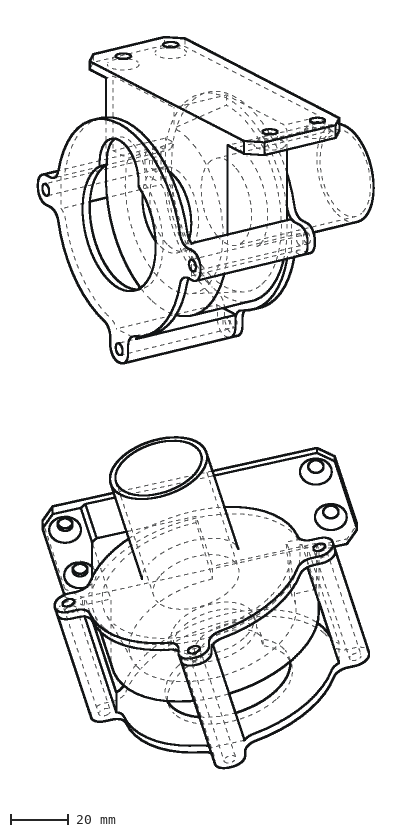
import cadquery as cq
import math

DISC_RADIUS = 38.5
LUG_REACH = 50.0
LUG_WIDTH = 11.0
LUG_ROUND = 5.0
LUG_ANGLES = (0, 180, 270)
SCREW_RADIUS = 45.0
SCREW_DIAMETER = 4.2
FLANGE_FRONT = 45.0
TOP_Z = 42.6

RING_THICKNESS = 3.0
OPENING_RADIUS = 22.5
LOBE_RADIUS = 12.0
LOBE_Z = 20.5
POST_INNER = 40.0

FLANGE_THICKNESS = 3.0
TUBE_END = 95.0
TUBE_DIAMETER = 35.0
TUBE_BORE = 31.0
TUBE_FILLET = 5.0

WALL = 3.0
HOUSING_FRONT = 20.1
HOUSING_HALF_WIDTH = 37.4
HOUSING_AXIS_Z = 2.0
INLET_DIAMETER = 30.0
CAVITY_FRONT_RADIUS = 30.0
CAVITY_BACK_RADIUS = 33.8
WINDOW_FLOOR_Z = 12.0
PLATE_LENGTH = 105
PLATE_DEPTH = 40.0
PLATE_CHAMFER = 5.0
THICK_PLATE = 4.7
BOLT_DIAMETER = 5.2
BOLT_X = 45.0
HEAD_DIAMETER = 11.0
HEAD_DEPTH = WALL
BOLT_EDGE = 7.6
BOLT_PITCH_Y = 20


def face_plane(y):
    """XZ sketch plane at depth y; negative extrusion lengths run toward +Y."""
    return cq.Workplane("XZ", origin=(0, y, 0))


def cylinder(radius, y_start, y_end, z=0):
    return face_plane(y_start).center(0, z).circle(radius).extrude(y_start - y_end)


def box(x_range, y_range, z_range):
    size = [end - start for start, end in (x_range, y_range, z_range)]
    corner = (x_range[0], y_range[0], z_range[0])
    return cq.Workplane("XY").box(*size, centered=False).translate(corner)


def lug_solid(y_start, y_end, inner):
    """Lug on the +X side with flared roots, from X = inner to its rounded end."""
    half = LUG_WIDTH / 2
    root_z = half + LUG_ROUND
    root_x = math.sqrt((DISC_RADIUS + LUG_ROUND) ** 2 - root_z ** 2)
    tangent_scale = DISC_RADIUS / (DISC_RADIUS + LUG_ROUND)
    disc_x, disc_z = root_x * tangent_scale, root_z * tangent_scale
    start_angle = math.atan2(-root_z, -root_x)
    mid_angle = (start_angle - math.pi / 2) / 2
    mid_x = root_x + LUG_ROUND * math.cos(mid_angle)
    mid_z = root_z + LUG_ROUND * math.sin(mid_angle)
    lug = (
        face_plane(y_start)
        .moveTo(0, -disc_z)
        .lineTo(disc_x, -disc_z)
        .threePointArc((mid_x, -mid_z), (root_x, -half))
        .lineTo(LUG_REACH, -half)
        .lineTo(LUG_REACH, half)
        .lineTo(root_x, half)
        .threePointArc((mid_x, mid_z), (disc_x, disc_z))
        .lineTo(0, disc_z)
        .close()
        .extrude(y_start - y_end)
        .edges("|Y and >X")
        .fillet(LUG_ROUND)
    )
    return lug.intersect(box((inner, LUG_REACH), (y_start, y_end), (-LUG_REACH, LUG_REACH)))


def add_lugs(body, y_start, y_end, inner=0):
    lug = lug_solid(y_start, y_end, inner)
    for angle in LUG_ANGLES:
        body = body.union(lug.rotate((0, 0, 0), (0, -1, 0), angle))
    return body


def drill_screw_holes(body, y_start, y_end):
    hole = cylinder(SCREW_DIAMETER / 2, y_start, y_end).translate((SCREW_RADIUS, 0, 0))
    for angle in LUG_ANGLES:
        body = body.cut(hole.rotate((0, 0, 0), (0, -1, 0), angle))
    return body


def make_guard_ring():
    """Front ring with a keyhole opening and three posts reaching back to the flange."""
    ring = add_lugs(cylinder(DISC_RADIUS, 0, RING_THICKNESS), 0, RING_THICKNESS)
    ring = ring.cut(cylinder(OPENING_RADIUS, 0, RING_THICKNESS))
    ring = ring.cut(cylinder(LOBE_RADIUS, 0, RING_THICKNESS, LOBE_Z))
    ring = add_lugs(ring, 0, FLANGE_FRONT, POST_INNER)
    return drill_screw_holes(ring, 0, FLANGE_FRONT)


def make_outlet_flange():
    """Lugged flange with a bored tube that flares into its rear face."""
    back = FLANGE_FRONT + FLANGE_THICKNESS
    tube_radius = TUBE_DIAMETER / 2
    flange = add_lugs(cylinder(DISC_RADIUS, FLANGE_FRONT, back), FLANGE_FRONT, back)
    flare_offset = TUBE_FILLET * (1 - math.sqrt(0.5))
    tube = (
        cq.Workplane("XY")
        .moveTo(0, FLANGE_FRONT)
        .lineTo(tube_radius + TUBE_FILLET, FLANGE_FRONT)
        .lineTo(tube_radius + TUBE_FILLET, back)
        .threePointArc(
            (tube_radius + flare_offset, back + flare_offset),
            (tube_radius, back + TUBE_FILLET),
        )
        .lineTo(tube_radius, TUBE_END)
        .lineTo(0, TUBE_END)
        .close()
        .revolve(360, (0, 0, 0), (0, 1, 0))
    )
    flange = flange.union(tube).cut(cylinder(TUBE_BORE / 2, FLANGE_FRONT, TUBE_END))
    return drill_screw_holes(flange, FLANGE_FRONT, back)


def make_mounting_plate():
    """Chamfered plate, countersunk from below, thicker at the +X end beyond a 45 degree ramp."""
    half_length = PLATE_LENGTH / 2
    rear = HOUSING_FRONT + PLATE_DEPTH
    step = THICK_PLATE - WALL
    plate = (
        face_plane(HOUSING_FRONT)
        .moveTo(-half_length, TOP_Z)
        .lineTo(half_length, TOP_Z)
        .lineTo(half_length, TOP_Z - THICK_PLATE)
        .lineTo(HOUSING_HALF_WIDTH, TOP_Z - THICK_PLATE)
        .lineTo(HOUSING_HALF_WIDTH - step, TOP_Z - WALL)
        .lineTo(-half_length, TOP_Z - WALL)
        .close()
        .extrude(-PLATE_DEPTH)
        .edges("|Z and (<X or >X)")
        .chamfer(PLATE_CHAMFER)
    )
    rear_row = rear - BOLT_EDGE
    bolt_points = [(x, y) for x in (-BOLT_X, BOLT_X) for y in (rear_row - BOLT_PITCH_Y, rear_row)]
    holes = (
        cq.Workplane("XY", origin=(0, 0, TOP_Z))
        .pushPoints(bolt_points)
        .circle(BOLT_DIAMETER / 2)
        .extrude(-THICK_PLATE)
    )
    plate = plate.cut(holes)
    for x, y in bolt_points:
        thickness = THICK_PLATE if x > 0 else WALL
        countersink = cq.Solid.makeCone(
            HEAD_DIAMETER / 2,
            BOLT_DIAMETER / 2,
            HEAD_DEPTH,
            pnt=cq.Vector(x, y, TOP_Z - thickness),
        )
        plate = plate.cut(cq.Workplane(obj=countersink))
    return plate


def make_housing():
    """Round-bottomed shell under the mounting plate, open at the back and windowed on the -X side."""
    cavity_front = HOUSING_FRONT + WALL
    cavity_depth = FLANGE_FRONT - cavity_front
    shell = (
        face_plane(HOUSING_FRONT)
        .moveTo(-HOUSING_HALF_WIDTH, TOP_Z - WALL)
        .lineTo(-HOUSING_HALF_WIDTH, HOUSING_AXIS_Z)
        .threePointArc((0, HOUSING_AXIS_Z - HOUSING_HALF_WIDTH), (HOUSING_HALF_WIDTH, HOUSING_AXIS_Z))
        .lineTo(HOUSING_HALF_WIDTH, TOP_Z - WALL)
        .close()
        .extrude(HOUSING_FRONT - FLANGE_FRONT)
    )
    cavity = cq.Workplane(obj=cq.Solid.makeCone(
        CAVITY_FRONT_RADIUS,
        CAVITY_BACK_RADIUS,
        cavity_depth,
        pnt=cq.Vector(0, cavity_front, HOUSING_AXIS_Z),
        dir=cq.Vector(0, 1, 0),
    ))
    inlet = cylinder(INLET_DIAMETER / 2, HOUSING_FRONT, cavity_front, HOUSING_AXIS_Z)
    window = box(
        (-HOUSING_HALF_WIDTH, 0),
        (cavity_front, FLANGE_FRONT),
        (WINDOW_FLOOR_Z, TOP_Z - WALL),
    )
    return shell.cut(cavity).cut(inlet).cut(window).union(make_mounting_plate())


guard_ring = make_guard_ring()
outlet_flange = make_outlet_flange()
housing = make_housing()

result = cq.Compound.makeCompound([guard_ring.val(), outlet_flange.val(), housing.val()])